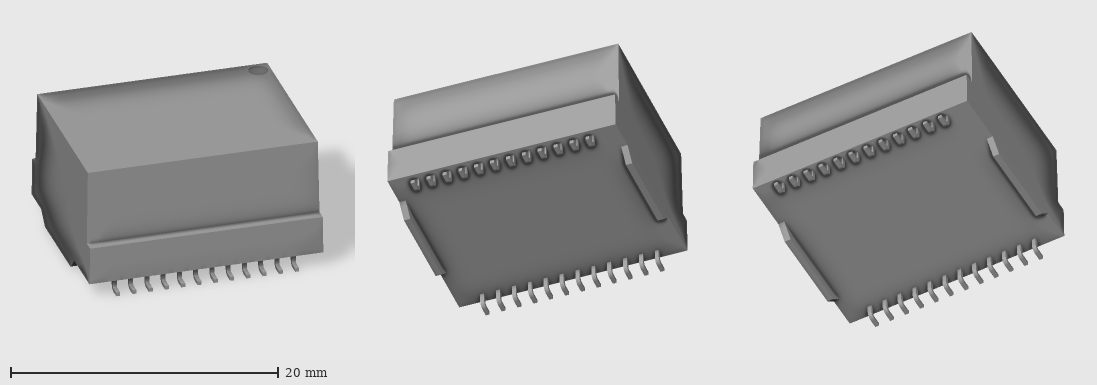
import cadquery as cq
import math

BODY_Y = 18.25
TOTAL_HEIGHT = 10.02
BASE_X = 15.24
BASE_HEIGHT = 3.0
BASE_BOTTOM = 1.13
BASE_TOP = BASE_BOTTOM + BASE_HEIGHT
COVER_X = 13.55
DRAFT_SLOPE = math.tan(math.radians(1.0))

MARK_DIAMETER = 1.5
MARK_X = -5.65
MARK_Y = 7.98
MARK_DEPTH = 0.1

RIB_CENTER_X = -0.75
RIB_BOTTOM_X = 6.72
RIB_HEIGHT = 1.0
RIB_TOP_X = RIB_BOTTOM_X + 2 * RIB_HEIGHT
RIB_THICKNESS = 0.51

LEAD_COUNT = 12
LEAD_ROW_SPAN = 13.96
LEAD_PITCH = LEAD_ROW_SPAN / (LEAD_COUNT - 1)
LEAD_WIDTH = 0.31
LEAD_THICKNESS = 0.3
OVERALL_X = 15.93
LEAD_TIP_X = OVERALL_X / 2
LEAD_INNER_X = 6.77
LEAD_OUTER_X = LEAD_INNER_X + LEAD_THICKNESS
BEND_INNER_RADIUS = 0.2
BEND_OUTER_RADIUS = BEND_INNER_RADIUS + LEAD_THICKNESS


def make_stepped_body():
    """Body with square ends: vertical sides up to the ledges, drafted cover sides above."""
    base_half = BASE_X / 2
    cover_half = COVER_X / 2
    top_half = cover_half - (TOTAL_HEIGHT - BASE_TOP) * DRAFT_SLOPE
    return (
        cq.Workplane("XZ")
        .moveTo(-base_half, BASE_BOTTOM)
        .lineTo(base_half, BASE_BOTTOM)
        .lineTo(base_half, BASE_TOP)
        .lineTo(cover_half, BASE_TOP)
        .lineTo(top_half, TOTAL_HEIGHT)
        .lineTo(-top_half, TOTAL_HEIGHT)
        .lineTo(-cover_half, BASE_TOP)
        .lineTo(-base_half, BASE_TOP)
        .close()
        .extrude(BODY_Y / 2, both=True)
    )


def make_end_draft():
    """Trapezoid prism whose sloped ends draft the body along its full height."""
    bottom_half = BODY_Y / 2
    top_half = bottom_half - (TOTAL_HEIGHT - BASE_BOTTOM) * DRAFT_SLOPE
    return (
        cq.Workplane("YZ")
        .moveTo(-bottom_half, BASE_BOTTOM)
        .lineTo(bottom_half, BASE_BOTTOM)
        .lineTo(top_half, TOTAL_HEIGHT)
        .lineTo(-top_half, TOTAL_HEIGHT)
        .close()
        .extrude(BASE_X / 2, both=True)
    )


def make_pin_one_mark():
    return (
        cq.Workplane("XY", origin=(MARK_X, MARK_Y, TOTAL_HEIGHT - MARK_DEPTH))
        .circle(MARK_DIAMETER / 2)
        .extrude(MARK_DEPTH)
    )


def make_rib(center_y):
    """Trapezoid rib hanging below the base, narrowing at 45 degrees toward its foot."""
    rib_bottom = BASE_BOTTOM - RIB_HEIGHT
    return (
        cq.Workplane("XZ", origin=(RIB_CENTER_X, center_y, 0))
        .moveTo(-RIB_TOP_X / 2, BASE_BOTTOM)
        .lineTo(-RIB_BOTTOM_X / 2, rib_bottom)
        .lineTo(RIB_BOTTOM_X / 2, rib_bottom)
        .lineTo(RIB_TOP_X / 2, BASE_BOTTOM)
        .close()
        .extrude(RIB_THICKNESS / 2, both=True)
    )


def make_lead(center_y):
    """Lead on the +X side: a leg down from the base, a bend, and a foot pointing outward."""
    bend_x = LEAD_INNER_X + BEND_OUTER_RADIUS
    bend_z = BEND_OUTER_RADIUS
    diagonal = math.sqrt(0.5)
    outer_offset = BEND_OUTER_RADIUS * diagonal
    inner_offset = BEND_INNER_RADIUS * diagonal
    return (
        cq.Workplane("XZ", origin=(0, center_y, 0))
        .moveTo(LEAD_INNER_X, BASE_BOTTOM)
        .lineTo(LEAD_INNER_X, bend_z)
        .threePointArc((bend_x - outer_offset, bend_z - outer_offset), (bend_x, 0))
        .lineTo(LEAD_TIP_X, 0)
        .lineTo(LEAD_TIP_X, LEAD_THICKNESS)
        .lineTo(bend_x, LEAD_THICKNESS)
        .threePointArc((bend_x - inner_offset, bend_z - inner_offset), (LEAD_OUTER_X, bend_z))
        .lineTo(LEAD_OUTER_X, BASE_BOTTOM)
        .close()
        .extrude(LEAD_WIDTH / 2, both=True)
    )


result = make_stepped_body().intersect(make_end_draft()).cut(make_pin_one_mark())

rib_y = (BODY_Y - RIB_THICKNESS) / 2
for center_y in (-rib_y, rib_y):
    result = result.union(make_rib(center_y))

for index in range(LEAD_COUNT):
    lead = make_lead(index * LEAD_PITCH - LEAD_ROW_SPAN / 2)
    result = result.union(lead).union(lead.mirror("YZ"))